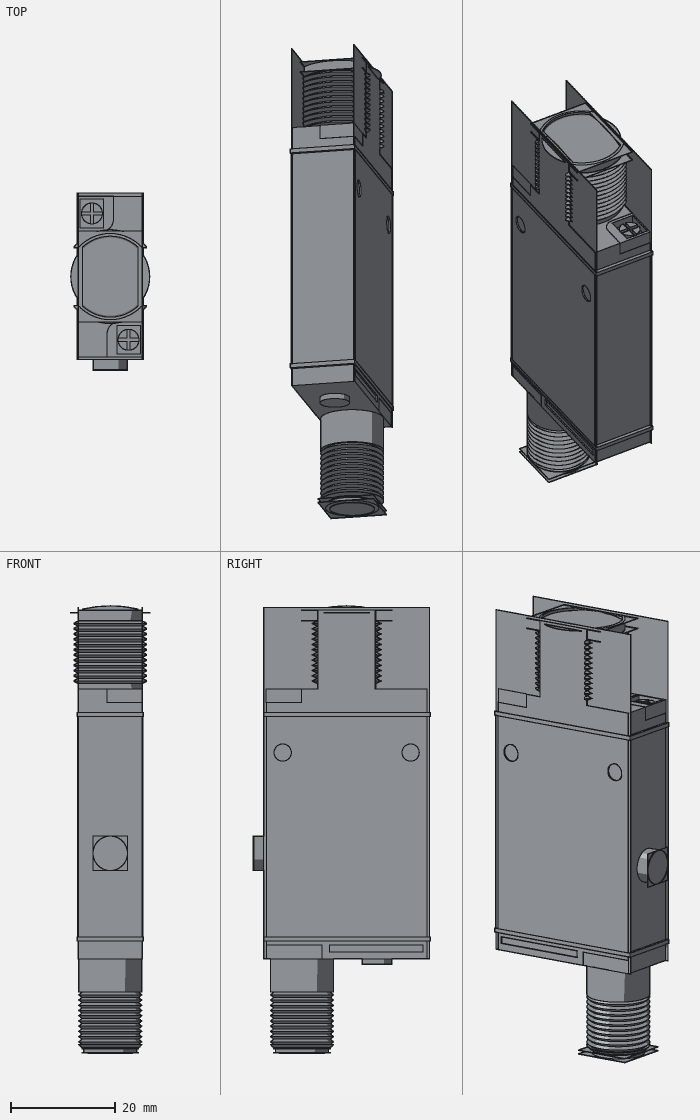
import cadquery as cq
import math


SKIN = 0.1
RELIEF = 0.05

HOUSING_HALF_X = 6.2
HOUSING_HALF_Y = 15.36
HOUSING_TOP = 51.66
COVER_HALF_X = 6.3
COVER_BOTTOM = 3.4
COVER_TOP = 47.2
FLANGE_HALF_X = 6.35
FLANGE_FRONT_Y = -15.9
FLANGE_REAR_Y = 16.05
FLANGE_HEIGHT = 0.8
SHEET_HALF_X = HOUSING_HALF_X - RELIEF
SHEET_HALF_Y = 15.9
SHEET_TOP = 67.3

MOUNT_DIAMETER = 3.3
MOUNT_HALF_SPAN = 12.25
MOUNT_Z = 39.5
MOUNT_DEPTH = 0.3

BARREL_RADIUS = 8.26
BARREL_TOP = 66.8
BARREL_THREAD_RADIUS = 9.0
BARREL_THREAD_BOTTOM = 52.7
BARREL_THREAD_TURNS = 12
BARREL_THREAD_HALF_X = 6.9
BARREL_THREAD_GAP_HALF_Y = 5.5
THREAD_PITCH = 1.0
COLLAR_HALF_Y = 8.7
COLLAR_LOWER_TOP = 64.8

LENS_RADIUS = 7.57
LENS_SEAT_RADIUS = 7.75
LENS_HALF_X = 5.28
LENS_BASE = 66.3
LENS_TOP = 67.61

INSERT_INNER_X = -0.6
INSERT_INNER_Y = -8.7
INSERT_BOTTOM = 49.05
INSERT_CORNER_RADIUS = 2.2
POCKET_X = 3.5
POCKET_Y = -12.1
POCKET_SIZE_X = 4.5
POCKET_SIZE_Y = 5.5
POCKET_DEPTH = 1.6
ADJUSTER_RADIUS = 2.0
ADJUSTER_HEIGHT = 1.2
CROSS_WIDTH = 0.6
CROSS_DEPTH = 0.7

BUTTON_DIAMETER = 6.6
BUTTON_Z = 20.2
BUTTON_END_Y = -17.94

PLUG_Y = -8.55
PLUG_RADIUS = 6.05
PLUG_ROOT_RADIUS = 5.45
PLUG_SHANK_LENGTH = 6.4
PLUG_THREAD_TURNS = 10
PLUG_TIP_RADIUS = 5.1
PLUG_TIP_CHAMFER = 0.6
PLUG_FACE_RADIUS = 4.3
PLUG_END = -18.1
PLUG_PLATE_SIZE = 10.9
PLUG_PLATE_GAP = 0.75

SCREW_Y = 5.8
SCREW_RADIUS = 2.85
SCREW_HEIGHT = 1.05
PANEL_TOP = 2.65
PANEL_EDGE_Y = -4.74
SLOT_BOTTOM = 1.35
SLOT_MIN_Y = -3.28
SLOT_MAX_Y = 14.66
SLOT_DEPTH = 0.3


def block(x0, x1, y0, y1, z0, z1):
    """Box between two opposite corners."""
    return cq.Workplane("XY").box(x1 - x0, y1 - y0, z1 - z0, centered=False).translate((x0, y0, z0))


def slab(half_x, half_y, z0, z1):
    """Box centred on the Z axis."""
    return block(-half_x, half_x, -half_y, half_y, z0, z1)


def cylinder(radius, z0, z1, x=0, y=0):
    """Upright cylinder."""
    return cq.Workplane("XY", origin=(x, y, z0)).circle(radius).extrude(z1 - z0)


def thread_ridges(root, crest, bottom, turns):
    """Core with a stack of V-shaped ridges, one for each turn of the thread."""
    top = bottom + turns * THREAD_PITCH
    points = [(0, bottom), (root, bottom)]
    for turn in range(turns):
        z = bottom + turn * THREAD_PITCH
        points.append((crest, z + THREAD_PITCH / 2))
        points.append((root, z + THREAD_PITCH))
    points.append((0, top))
    return cq.Workplane("XZ").polyline(points).close().revolve(360, (0, 0, 0), (0, 1, 0))


def both_corners(shape):
    """The shape together with its copy turned half way round the Z axis."""
    return shape.union(shape.rotate((0, 0, 0), (0, 0, 1), 180))


def make_housing():
    housing = slab(HOUSING_HALF_X, HOUSING_HALF_Y, 0, HOUSING_TOP)
    housing = housing.union(slab(COVER_HALF_X, HOUSING_HALF_Y, COVER_BOTTOM, COVER_TOP))
    for z in (COVER_BOTTOM, COVER_TOP - FLANGE_HEIGHT):
        flange = block(
            -FLANGE_HALF_X, FLANGE_HALF_X,
            FLANGE_FRONT_Y, FLANGE_REAR_Y,
            z, z + FLANGE_HEIGHT,
        )
        housing = housing.union(flange)
    for side in (-1, 1):
        sheet_x = sorted((side * SHEET_HALF_X, side * (SHEET_HALF_X - SKIN)))
        cover_outer_x = COVER_HALF_X - RELIEF
        cover_x = sorted((side * cover_outer_x, side * (cover_outer_x - SKIN)))
        housing = housing.union(block(*sheet_x, -SHEET_HALF_Y, SHEET_HALF_Y, 0, SHEET_TOP))
        housing = housing.union(block(*cover_x, FLANGE_FRONT_Y, SHEET_HALF_Y, COVER_BOTTOM, COVER_TOP))
    return housing


def make_barrel():
    thread = thread_ridges(BARREL_RADIUS, BARREL_THREAD_RADIUS, BARREL_THREAD_BOTTOM, BARREL_THREAD_TURNS)
    thread = thread.intersect(slab(BARREL_THREAD_HALF_X, BARREL_THREAD_RADIUS, HOUSING_TOP, BARREL_TOP))
    thread = thread.cut(slab(BARREL_THREAD_RADIUS, BARREL_THREAD_GAP_HALF_Y, HOUSING_TOP, BARREL_TOP))
    core = cylinder(BARREL_RADIUS, HOUSING_TOP, BARREL_TOP)
    core = core.intersect(slab(HOUSING_HALF_X, BARREL_RADIUS, HOUSING_TOP, BARREL_TOP))
    barrel = core.union(thread)
    for top in (COLLAR_LOWER_TOP, BARREL_TOP):
        barrel = barrel.union(slab(HOUSING_HALF_X, COLLAR_HALF_Y, top - SKIN, top))
    seat = cylinder(LENS_SEAT_RADIUS, LENS_BASE, BARREL_TOP)
    return barrel.cut(seat.intersect(slab(LENS_HALF_X, LENS_SEAT_RADIUS, LENS_BASE, BARREL_TOP)))


def make_lens():
    rise = LENS_TOP - LENS_BASE
    sphere_radius = (LENS_RADIUS ** 2 + rise ** 2) / (2 * rise)
    mid_radius = LENS_RADIUS / 2
    mid_z = LENS_TOP - sphere_radius + math.sqrt(sphere_radius ** 2 - mid_radius ** 2)
    dome = (
        cq.Workplane("XZ")
        .moveTo(0, LENS_BASE)
        .lineTo(LENS_RADIUS, LENS_BASE)
        .threePointArc((mid_radius, mid_z), (0, LENS_TOP))
        .close()
        .revolve(360, (0, 0, 0), (0, 1, 0))
    )
    dome = dome.intersect(slab(LENS_HALF_X, LENS_RADIUS, LENS_BASE, LENS_TOP))
    return dome.union(cylinder(LENS_RADIUS, LENS_BASE - SKIN, LENS_BASE))


def make_insert_recesses():
    """Lowers the broad side to the level of the sheet beside each insert."""
    return both_corners(block(
        SHEET_HALF_X, HOUSING_HALF_X,
        -HOUSING_HALF_Y, INSERT_INNER_Y,
        INSERT_BOTTOM, HOUSING_TOP,
    ))


def make_inserts():
    insert = block(
        INSERT_INNER_X, SHEET_HALF_X,
        -HOUSING_HALF_Y - RELIEF, INSERT_INNER_Y,
        INSERT_BOTTOM, HOUSING_TOP + RELIEF,
    )
    return both_corners(insert.edges("|Z and <X and >Y").fillet(INSERT_CORNER_RADIUS))


def make_adjuster_pockets():
    floor = HOUSING_TOP - POCKET_DEPTH
    pocket = cq.Workplane("XY", origin=(POCKET_X, POCKET_Y, floor))
    pocket = pocket.rect(POCKET_SIZE_X, POCKET_SIZE_Y).extrude(POCKET_DEPTH + RELIEF)
    screw_top = floor + ADJUSTER_HEIGHT
    screw = cylinder(ADJUSTER_RADIUS, floor, screw_top, POCKET_X, POCKET_Y)
    cross = cq.Workplane("XY", origin=(POCKET_X, POCKET_Y, screw_top))
    length = 2 * ADJUSTER_RADIUS
    for size in ((length, CROSS_WIDTH), (CROSS_WIDTH, length)):
        screw = screw.cut(cross.rect(*size).extrude(-CROSS_DEPTH))
    return both_corners(pocket.cut(screw))


def make_button():
    end = cq.Workplane("XZ", origin=(0, BUTTON_END_Y, BUTTON_Z))
    button = end.circle(BUTTON_DIAMETER / 2).extrude(BUTTON_END_Y + HOUSING_HALF_Y)
    plate = cq.Workplane("XZ", origin=(0, BUTTON_END_Y + RELIEF, BUTTON_Z))
    return button.union(plate.rect(BUTTON_DIAMETER, BUTTON_DIAMETER).extrude(-SKIN))


def make_plug():
    thread_bottom = -PLUG_SHANK_LENGTH - PLUG_THREAD_TURNS * THREAD_PITCH
    tip_top = thread_bottom - PLUG_TIP_CHAMFER
    face_z = PLUG_END + SKIN
    plug = cylinder(PLUG_RADIUS, -PLUG_SHANK_LENGTH, 0)
    plug = plug.union(thread_ridges(PLUG_ROOT_RADIUS, PLUG_RADIUS, thread_bottom, PLUG_THREAD_TURNS))
    shoulder = cylinder(PLUG_RADIUS, tip_top, thread_bottom).faces("<Z").chamfer(PLUG_TIP_CHAMFER - RELIEF)
    plug = plug.union(shoulder)
    plug = plug.union(cylinder(PLUG_TIP_RADIUS, face_z, tip_top))
    plug = plug.union(cylinder(PLUG_FACE_RADIUS, PLUG_END, face_z))
    half_plate = PLUG_PLATE_SIZE / 2
    for z in (face_z, face_z + PLUG_PLATE_GAP):
        plug = plug.union(slab(half_plate, half_plate, z, z + SKIN))
    return plug.translate((0, PLUG_Y, 0))


def make_side_recesses():
    """Mounting recesses, label slot and plug panel, cut into both broad sides."""
    mounts = (
        cq.Workplane("YZ", origin=(-COVER_HALF_X, 0, 0))
        .pushPoints([(-MOUNT_HALF_SPAN, MOUNT_Z), (MOUNT_HALF_SPAN, MOUNT_Z)])
        .circle(MOUNT_DIAMETER / 2)
        .extrude(MOUNT_DEPTH)
    )
    outer_x = -HOUSING_HALF_X
    slot = block(outer_x, outer_x + SLOT_DEPTH, SLOT_MIN_Y, SLOT_MAX_Y, SLOT_BOTTOM, PANEL_TOP)
    panel = block(outer_x, outer_x + RELIEF, -HOUSING_HALF_Y, PANEL_EDGE_Y, 0, PANEL_TOP)
    recesses = mounts.union(slot).union(panel)
    return recesses.union(recesses.mirror("YZ"))


def make_sensor():
    sensor = make_housing().cut(make_insert_recesses()).union(make_inserts()).cut(make_adjuster_pockets())
    sensor = sensor.union(make_barrel()).union(make_lens()).union(make_button()).union(make_plug())
    sensor = sensor.union(cylinder(SCREW_RADIUS, -SCREW_HEIGHT, 0, y=SCREW_Y))
    return sensor.cut(make_side_recesses())


result = make_sensor()